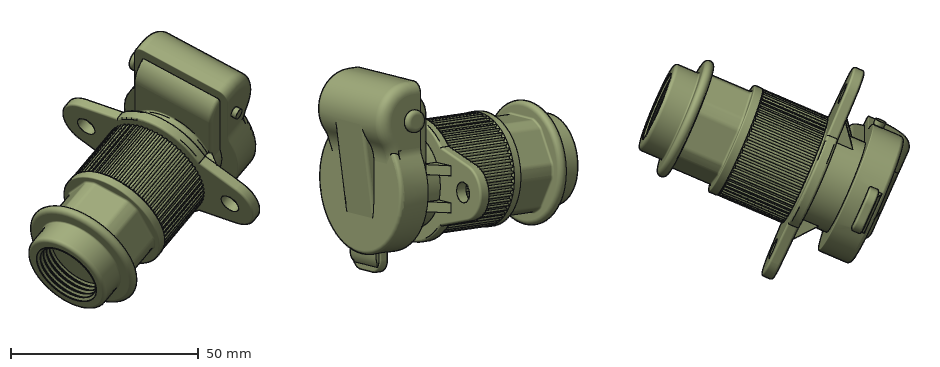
import cadquery as cq
import math


flange_start = 7.0
flange_end = 9.7
ring_start = 21.75
ring_end = 24.05
grip_end = 43.15
plate_start = 43.9
plate_end = 47.0
block_face = 50.9
lid_face = 54.95
disc_back = 64.1
lid_back = 67.95

nozzle_radius = 12.5
nozzle_fillet = 1.0
root_fillet = 0.4
bore_radius = 8.8
thread_radius = 9.6
thread_pitch = 1.4
thread_land = 0.3
thread_count = 4
flange_radius = 16.8
body_across_flats = 25.0
body_round_radius = 13.5
body_edge_fillet = 2.4
body_root_fillet = 0.55
ring_radius = 15.5
ring_fillet = 0.35
grip_core_radius = 14.95
grip_cone_length = 0.55
ridge_radius = 0.4
ridge_count = 60
neck_radius = 13.05

plate_radius = 17.0
plate_fillet = 0.6
plate_width = 61.6
ear_offset = 23.0
ear_radius = plate_width / 2 - ear_offset
ear_taper = math.radians(15)
ear_hole_radius = 2.8
gusset_reach = 17.65
gusset_slope = 0.8
gusset_low = 3.7
gusset_high = 6.4

pin_height = 19.5
hinge_radius = 10.05
pin_y = lid_back - hinge_radius
block_radius = pin_y - block_face
block_half_width = 12.5
block_arc_height = 19.8
block_fillet = 1.0
lid_half_width = 15.0
lid_side_fillet = 3.0
lid_face_fillet = 0.3
disc_radius = 18.35
disc_fillet = 1.1
hump_blend = 9.0
side_blend = 4.3
side_blend_depth = 7.5
rib_foot = -7.75
rib_fillet = 0.8

tab_half_width = 6.25
tab_bottom = -23.2
tab_front = 59.25
tab_back = 61.95
tab_corner = 3.7
tab_fillet = 0.55
tab_curve_start = -18.0
tab_curve_end = -21.4
tab_curve_radius = 6.2

pin_radius = 1.5
pin_right_end = 16.6
head_radius = 3.05
head_end = -17.2
head_base = -15.35
head_fillet = 1.2
head_base_fillet = 0.3


def facing_y(y):
    """Sketch plane at the given y, with +X and +Z as its axes; extrude(-t) grows toward +Y."""
    return cq.Workplane("XZ", origin=(0, y, 0))


def cylinder(radius, start, end):
    return facing_y(start).circle(radius).extrude(start - end)


def around_axis(outline):
    return outline.close().revolve(360, (0, 0, 0), (0, 1, 0))


def root_flare(radius, face_y):
    """Concave fillet on the -Y side of the face at face_y, where a cylinder runs into it."""
    return around_axis(
        cq.Workplane("XY")
        .moveTo(0, face_y - root_fillet)
        .lineTo(radius, face_y - root_fillet)
        .radiusArc((radius + root_fillet, face_y), root_fillet)
        .lineTo(0, face_y)
    )


def make_nozzle():
    tube = cylinder(nozzle_radius, 0, flange_start).faces("<Y").edges().fillet(nozzle_fillet)
    rim = (flange_end - flange_start) / 2
    flange = around_axis(
        cq.Workplane("XY")
        .moveTo(0, flange_start)
        .lineTo(flange_radius - rim, flange_start)
        .threePointArc((flange_radius, flange_start + rim), (flange_radius - rim, flange_end))
        .lineTo(0, flange_end)
    )
    return tube.union(flange).union(root_flare(nozzle_radius, flange_start))


def make_body():
    """Hexagon with flats at top and bottom, its corners turned down to a cylinder."""
    length = ring_start - flange_end
    corner_diameter = body_across_flats / math.cos(math.pi / 6)
    hexagon = facing_y(flange_end).polygon(6, corner_diameter).extrude(-length)
    rounded = hexagon.intersect(cylinder(body_round_radius, flange_end, ring_start))
    return rounded.edges("|Y").fillet(body_edge_fillet)


def make_front():
    """Nozzle, body and ring, with fillets where the body runs into its two neighbours."""
    ring = cylinder(ring_radius, ring_start, ring_end).faces("<Y").edges().fillet(ring_fillet)
    front = make_nozzle().union(make_body()).union(ring)
    tolerance = 0.01

    def is_body_end(edge):
        center = edge.Center()
        end_distance = min(abs(center.y - flange_end), abs(center.y - ring_start))
        off_axis = math.hypot(center.x, center.z) > bore_radius
        return end_distance < tolerance and off_axis

    return front.edges().filter(is_body_end).fillet(body_root_fillet)


def make_grip():
    core = around_axis(
        cq.Workplane("XY")
        .moveTo(0, ring_end)
        .lineTo(ring_radius, ring_end)
        .lineTo(grip_core_radius, ring_end + grip_cone_length)
        .lineTo(grip_core_radius, grip_end)
        .lineTo(0, grip_end)
    )
    ridges = (
        facing_y(ring_end)
        .polarArray(grip_core_radius, 0, 360, ridge_count)
        .circle(ridge_radius)
        .extrude(ring_end - grip_end)
    )
    return core.union(ridges)


def make_thread_bore():
    """Blind bore with ring grooves of trapezoidal section standing in for the thread."""
    flank = thread_pitch / 2 - thread_land
    y = thread_land
    outline = cq.Workplane("XY").lineTo(thread_radius, 0).lineTo(thread_radius, y)
    for _ in range(thread_count):
        crest_start = y + flank
        crest_end = crest_start + thread_land
        root_start = crest_end + flank
        y = root_start + thread_land
        outline = (
            outline.lineTo(bore_radius, crest_start)
            .lineTo(bore_radius, crest_end)
            .lineTo(thread_radius, root_start)
            .lineTo(thread_radius, y)
        )
    floor = y + flank
    return around_axis(outline.lineTo(bore_radius, floor).lineTo(0, floor))


def make_plate():
    """Round plate with two tapered ears whose straight flanks are tangent to the ear ends."""
    flank_distance = ear_offset * math.sin(ear_taper) + ear_radius
    flank_reach = math.sqrt(plate_radius**2 - flank_distance**2)
    root_x = flank_distance * math.sin(ear_taper) + flank_reach * math.cos(ear_taper)
    root_z = flank_distance * math.cos(ear_taper) - flank_reach * math.sin(ear_taper)
    end_x = ear_offset + ear_radius * math.sin(ear_taper)
    end_z = ear_radius * math.cos(ear_taper)
    tip_x = ear_offset + ear_radius
    plate = (
        facing_y(plate_start)
        .moveTo(root_x, root_z)
        .lineTo(end_x, end_z)
        .threePointArc((tip_x, 0), (end_x, -end_z))
        .lineTo(root_x, -root_z)
        .threePointArc((0, -plate_radius), (-root_x, -root_z))
        .lineTo(-end_x, -end_z)
        .threePointArc((-tip_x, 0), (-end_x, end_z))
        .lineTo(-root_x, root_z)
        .threePointArc((0, plate_radius), (root_x, root_z))
        .close()
        .extrude(plate_start - plate_end)
        .faces("<Y or >Y")
        .edges()
        .fillet(plate_fillet)
    )
    holes = (
        facing_y(plate_start)
        .pushPoints([(-ear_offset, 0), (ear_offset, 0)])
        .circle(ear_hole_radius)
        .extrude(plate_start - plate_end)
    )
    return plate.cut(holes)


def make_gussets():
    """Two pairs of sloped webs between the plate and the neck, above and below the axis."""
    peak = plate_end + gusset_reach * gusset_slope
    web = (
        cq.Workplane("XY", origin=(0, 0, gusset_low))
        .polyline([(-gusset_reach, plate_end), (0, peak), (gusset_reach, plate_end)])
        .close()
        .extrude(gusset_high - gusset_low)
    )
    web = web.intersect(cylinder(gusset_reach * 2, plate_end, lid_face))
    return web.union(web.mirror("XY"))


def make_neck():
    """Cylinder from the grip to the lid, filleted into the plate and the hinge block."""
    neck = cylinder(neck_radius, grip_end, lid_face).union(root_flare(neck_radius, plate_start))
    above_axis = cq.Workplane("XY").box(
        2 * block_half_width, lid_back, lid_back, centered=(True, False, False)
    )
    return neck.union(root_flare(neck_radius, block_face).intersect(above_axis))


def make_hinge_block():
    diagonal = block_radius * math.sqrt(0.5)
    block = (
        cq.Workplane("YZ", origin=(-block_half_width, 0, 0))
        .moveTo(block_face, 0)
        .lineTo(block_face, block_arc_height)
        .threePointArc(
            (pin_y - diagonal, block_arc_height + diagonal),
            (pin_y, block_arc_height + block_radius),
        )
        .lineTo(pin_y, 0)
        .close()
        .extrude(2 * block_half_width)
    )
    return block.faces("<X or >X").edges("not(>Y or <Z)").fillet(block_fillet)


def make_hinge_cover():
    """Humped cover around the pin, blending down into the back of the round lid."""
    blend_y = disc_back + hump_blend
    center_distance = hinge_radius + hump_blend
    blend_rise = math.sqrt(center_distance**2 - (blend_y - pin_y) ** 2)
    blend_z = pin_height - blend_rise
    joint_y = pin_y + (blend_y - pin_y) * hinge_radius / center_distance
    joint_z = pin_height - blend_rise * hinge_radius / center_distance
    cover = (
        cq.Workplane("YZ", origin=(-lid_half_width, 0, 0))
        .moveTo(lid_face, 0)
        .lineTo(lid_face, pin_height + hinge_radius)
        .lineTo(pin_y, pin_height + hinge_radius)
        .threePointArc((lid_back, pin_height), (joint_y, joint_z))
        .radiusArc((disc_back, blend_z), -hump_blend)
        .lineTo(disc_back, 0)
        .close()
        .extrude(2 * lid_half_width)
    )
    return cover.faces("<X or >X").edges("not(<Y or <Z)").fillet(lid_side_fillet)


def make_side_blends():
    """Concave fillers between the flat sides of the cover and the round lid."""
    center_x = lid_half_width + side_blend
    center_z = math.sqrt((disc_radius + side_blend) ** 2 - center_x**2)
    touch_scale = disc_radius / (disc_radius + side_blend)
    right = (
        facing_y(lid_face)
        .moveTo(0, center_z)
        .lineTo(lid_half_width, center_z)
        .radiusArc((center_x * touch_scale, center_z * touch_scale), -side_blend)
        .lineTo(0, 0)
        .close()
        .extrude(-side_blend_depth)
    )
    return right.union(right.mirror("YZ"))


def make_rib():
    """Tapered rib on the back, tangent to the hump and running out on the flat of the lid."""
    drop = pin_height - rib_foot
    setback = disc_back - pin_y
    angle = math.acos(hinge_radius / math.hypot(drop, setback)) - math.atan2(drop, setback)
    touch_y = pin_y + hinge_radius * math.cos(angle)
    touch_z = pin_height + hinge_radius * math.sin(angle)
    rib = (
        cq.Workplane("YZ", origin=(-tab_half_width, 0, 0))
        .polyline([(pin_y, rib_foot), (disc_back, rib_foot), (touch_y, touch_z), (pin_y, touch_z)])
        .close()
        .extrude(2 * tab_half_width)
    )
    return rib.faces(">Y").edges("<X or >X").fillet(rib_fillet)


def tab_blade(inset, back):
    """Flat blade with rounded lower corners, reaching from the front of the tab to y = back."""
    height = -tab_bottom - inset
    blade = (
        facing_y(tab_front)
        .center(0, -height / 2)
        .rect(2 * (tab_half_width - inset), height)
        .extrude(tab_front - back)
    )
    return blade.edges("|Y and <Z").fillet(tab_corner - inset)


def make_tab():
    """Blade rounded on both faces, with a hollow curve leading into the back of the lid."""
    blade = tab_blade(0, tab_back).faces("<Y or >Y").edges("not >Z").fillet(tab_fillet)
    disc_edge = disc_back - disc_fillet
    hollow = (
        cq.Workplane("YZ", origin=(-tab_half_width, 0, 0))
        .moveTo(tab_front, 0)
        .lineTo(tab_front, tab_curve_end)
        .lineTo(tab_back, tab_curve_end)
        .radiusArc((disc_edge, tab_curve_start), -tab_curve_radius)
        .lineTo(disc_edge, 0)
        .close()
        .extrude(2 * tab_half_width)
        .intersect(tab_blade(tab_fillet, disc_edge))
    )
    return blade.union(hollow)


def make_lid():
    disc = cylinder(disc_radius, lid_face, disc_back).faces(">Y").edges().fillet(disc_fillet)
    shell = disc.union(make_hinge_cover()).union(make_side_blends())
    shell = shell.faces("<Y").edges().fillet(lid_face_fillet)
    return shell.union(make_rib()).union(make_tab())


def make_pin():
    shaft = (
        cq.Workplane("YZ", origin=(head_base, pin_y, pin_height))
        .circle(pin_radius)
        .extrude(pin_right_end - head_base)
    )
    head = (
        cq.Workplane("YZ", origin=(head_end, pin_y, pin_height))
        .circle(head_radius)
        .extrude(head_base - head_end)
        .faces("<X")
        .edges()
        .fillet(head_fillet)
        .faces(">X")
        .edges()
        .fillet(head_base_fillet)
    )
    return shaft.union(head)


result = (
    make_front()
    .union(make_grip())
    .union(make_neck())
    .union(make_plate())
    .union(make_gussets())
    .union(make_hinge_block())
    .union(make_lid())
    .union(make_pin())
    .cut(make_thread_bore())
)